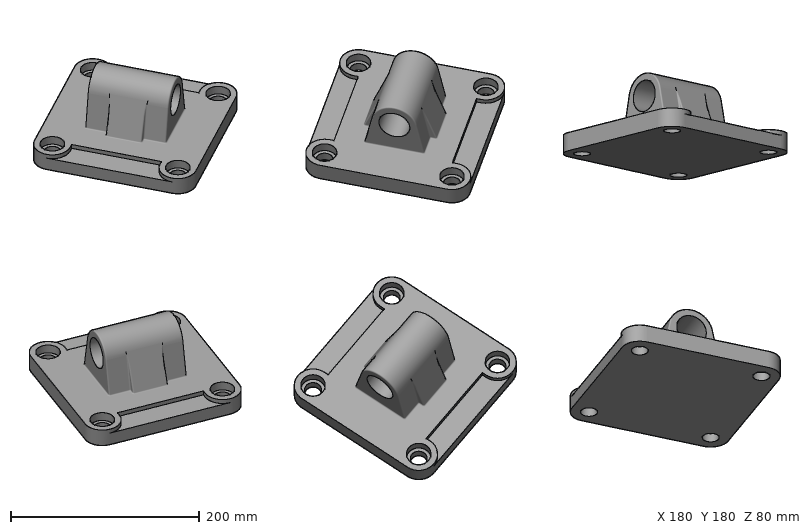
import cadquery as cq
import math

plate_side = 180
plate_height = 20
corner_radius = 20

bolt_offset = plate_side / 2 - corner_radius
bolt_diameter = 18
counterbore_diameter = 26
counterbore_depth = 10

recess_width = 25
recess_depth = 5

total_height = 80
lug_length = 90
lug_radius = 25
bore_diameter = 34
lug_slope = 12
lug_end_round = 1.5
bore_height = total_height - lug_radius

rib_length = 40
rib_slope = 21
rib_edge_round = 1.5
rib_side_fillet = 1.5

root_round = 1.5

rib_blank_height = 10

tolerance = 0.001


def round_topped_block(length, slope, radius=lug_radius):
    """Block along X whose flanks lean by `slope` degrees and run tangent into the round top."""
    angle = math.radians(slope)
    tangent_y = radius * math.cos(angle)
    tangent_z = bore_height + radius * math.sin(angle)
    foot_y = tangent_y + (tangent_z - plate_height) * math.tan(angle)
    return (
        cq.Workplane("YZ", origin=(-length / 2, 0, 0))
        .moveTo(-foot_y, plate_height)
        .lineTo(-tangent_y, tangent_z)
        .threePointArc((0, bore_height + radius), (tangent_y, tangent_z))
        .lineTo(foot_y, plate_height)
        .close()
        .extrude(length)
    )


def base_plate():
    return (
        cq.Workplane("XY")
        .rect(plate_side, plate_side)
        .extrude(plate_height)
        .edges("|Z")
        .fillet(corner_radius)
    )


def label_recess(side):
    """Recess on the +Y (side=1) or -Y (side=-1) edge, leaving the round corner pads standing."""
    floor = plate_height - recess_depth
    pocket = (
        cq.Workplane("XY", origin=(0, side * (plate_side / 2 - recess_width / 2), floor))
        .rect(2 * bolt_offset, recess_width)
        .extrude(recess_depth)
    )
    for end in (-1, 1):
        pad = (
            cq.Workplane("XY", origin=(end * bolt_offset, side * bolt_offset, floor))
            .circle(corner_radius)
            .extrude(recess_depth)
        )
        shoulder_width = recess_width - corner_radius
        shoulder = (
            cq.Workplane("XY", origin=(end * bolt_offset, side * (bolt_offset - shoulder_width / 2), floor))
            .rect(2 * corner_radius, shoulder_width)
            .extrude(recess_depth)
        )
        pocket = pocket.cut(pad).cut(shoulder)
    return pocket


def edges_along_rib_sides(body):
    """Edges in the two planes of the rib sides, leaving out those lying on the plate."""
    edges = []
    for side_x in (-rib_length / 2, rib_length / 2):
        for edge in body.edges("not <Z").vals():
            box = edge.BoundingBox()
            if max(abs(box.xmin - side_x), abs(box.xmax - side_x)) < tolerance:
                edges.append(edge)
    return edges


def filleted_ribs():
    """Both ribs as one body, with the fillets that lead from their sides onto the lug flanks.

    A stepped body is filleted along its inner corner, then trimmed to the ribs' outer slopes.
    """
    lug_core = round_topped_block(lug_length, lug_slope)
    step = round_topped_block(rib_length, lug_slope, lug_radius + rib_blank_height)
    stepped = lug_core.union(step)
    lug_solid = lug_core.val()
    inner_corners = [
        edge for edge in edges_along_rib_sides(stepped)
        if cq.Vertex.makeVertex(*edge.positionAt(0.5).toTuple()).distance(lug_solid) < tolerance
    ]
    stepped = stepped.newObject(inner_corners).fillet(rib_side_fillet)
    return stepped.intersect(round_topped_block(rib_length + 2 * rib_side_fillet, rib_slope))


def lug_with_ribs():
    lug = round_topped_block(lug_length, lug_slope)
    lug = lug.faces("<X or >X").edges("not <Z").fillet(lug_end_round)
    body = lug.union(filleted_ribs())
    rib_lean = math.tan(math.radians(rib_slope))
    rib_edges = []
    for edge in edges_along_rib_sides(body):
        direction = edge.tangentAt(0)
        if abs(abs(direction.y) - rib_lean * abs(direction.z)) < tolerance:
            rib_edges.append(edge)
    return body.newObject(rib_edges).fillet(rib_edge_round)


def round_lug_root(body):
    """Fillet around the foot of the lug and ribs, where they meet the plate."""
    reach_x = plate_side / 2 - corner_radius
    reach_y = plate_side / 2 - recess_width - tolerance
    foot = cq.selectors.BoxSelector(
        (-reach_x, -reach_y, plate_height - tolerance),
        (reach_x, reach_y, plate_height + tolerance),
    )
    return body.edges(foot).fillet(root_round)


def bolt_hole(x, y):
    through = cq.Workplane("XY", origin=(x, y, 0)).circle(bolt_diameter / 2).extrude(plate_height)
    seat = (
        cq.Workplane("XY", origin=(x, y, plate_height - counterbore_depth))
        .circle(counterbore_diameter / 2)
        .extrude(counterbore_depth)
    )
    return through.union(seat)


def bearing_bore():
    return (
        cq.Workplane("YZ", origin=(-lug_length / 2, 0, bore_height))
        .circle(bore_diameter / 2)
        .extrude(lug_length)
    )


result = base_plate()
for side in (-1, 1):
    result = result.cut(label_recess(side))

result = round_lug_root(result.union(lug_with_ribs()))
result = result.cut(bearing_bore())

for hole_x in (-bolt_offset, bolt_offset):
    for hole_y in (-bolt_offset, bolt_offset):
        result = result.cut(bolt_hole(hole_x, hole_y))